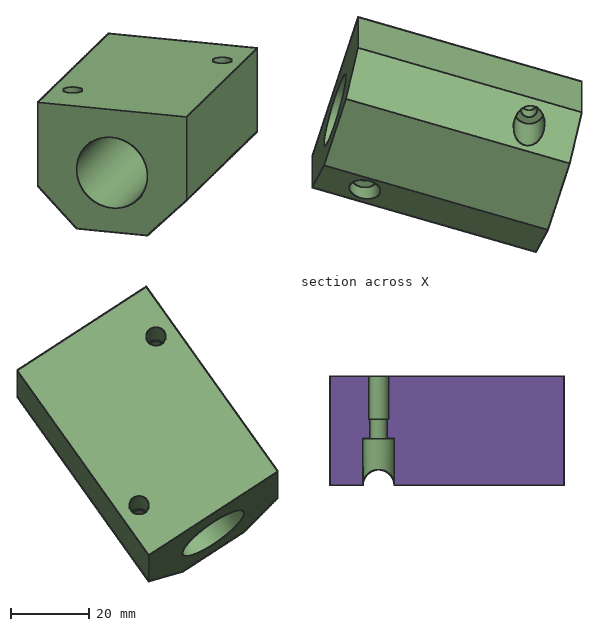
import cadquery as cq

length = 60.0
width = 40.0
height = 33.0
chamfer = 10.5
bore_diameter = 19.0
bore_height = 16.0

hole_x = 14.5
hole_y = 17.5
hole_diameter = 4.3
mouth_diameter = 5.0
mouth_depth = 11.0
pocket_diameter = 8.0
seat_depth = 16.0
pocket_top = height - seat_depth


def vertical_cylinder(x, y, diameter, bottom, top):
    return (
        cq.Workplane("XY", origin=(x, y, bottom))
        .circle(diameter / 2)
        .extrude(top - bottom)
    )


result = (
    cq.Workplane("XY")
    .box(width, length, height, centered=(True, True, False))
    .faces("<Z")
    .edges("|Y")
    .chamfer(chamfer)
)

bore = (
    cq.Workplane("XZ", origin=(0, 0, bore_height))
    .circle(bore_diameter / 2)
    .extrude(length / 2, both=True)
)
result = result.cut(bore)

for side in (-1, 1):
    x = side * hole_x
    y = side * hole_y
    result = result.cut(vertical_cylinder(x, y, hole_diameter, 0, height))
    result = result.cut(vertical_cylinder(x, y, mouth_diameter, height - mouth_depth, height))
    result = result.cut(vertical_cylinder(x, y, pocket_diameter, 0, pocket_top))